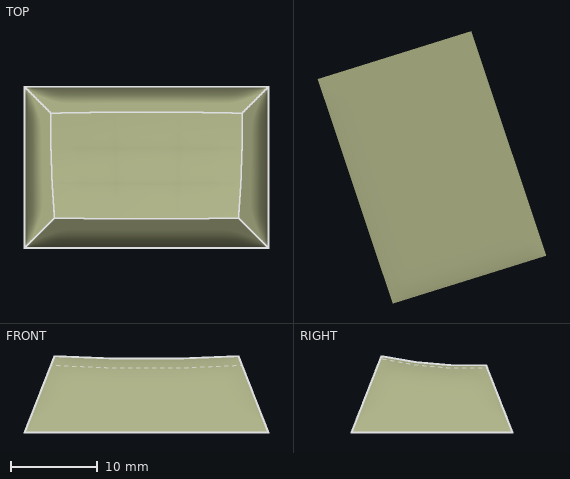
import cadquery as cq
import math

length = 28.15
width = 18.6
height = 8.85
wall_draft = 21.4

back_height = 7.77
dish_sag = 0.4
cross_radius = 163.27
cut_margin = 2.82

draft_slope = math.tan(math.radians(wall_draft))
front_y = -width / 2 + height * draft_slope
back_y = width / 2 - back_height * draft_slope
half_top = length / 2 - height * draft_slope
cross_sag = cross_radius - math.sqrt(cross_radius**2 - half_top**2)


def make_blank():
    """Drafted block, tall enough for the dish to trim its top."""
    return cq.Workplane("XY").rect(length, width).extrude(height + cross_sag, taper=wall_draft)


def make_dish_cutter():
    """Revolved cutter whose underside is curved both ways."""
    chord = math.hypot(back_y - front_y, height - back_height)
    arc_radius = (chord**2 / 4 + dish_sag**2) / (2 * dish_sag)
    to_center = arc_radius - dish_sag
    center_y = (front_y + back_y) / 2 + to_center * (height - back_height) / chord
    center_z = (height + back_height) / 2 - cross_sag + to_center * (back_y - front_y) / chord

    def arc_point(y):
        return (y, center_z - math.sqrt(arc_radius**2 - (y - center_y) ** 2))

    start_y = front_y - cut_margin
    end_y = back_y + cut_margin
    roof_z = height + 2 * cut_margin
    axis_z = height - cross_sag + cross_radius
    half_angle = math.degrees(math.asin((half_top + cut_margin) / (cross_radius - 2 * cut_margin)))
    profile = (
        cq.Workplane("YZ")
        .moveTo(*arc_point(start_y))
        .threePointArc(arc_point((start_y + end_y) / 2), arc_point(end_y))
        .lineTo(end_y, roof_z)
        .lineTo(start_y, roof_z)
        .close()
    )
    axis_start = (0, axis_z)
    axis_end = (1, axis_z)
    cutter = profile.revolve(2 * half_angle, axis_start, axis_end)
    return cutter.rotate((0, 0, axis_z), (0, 1, axis_z), -half_angle)


keycap = make_blank().cut(make_dish_cutter())

result = cq.Compound.makeCompound([keycap.val()])